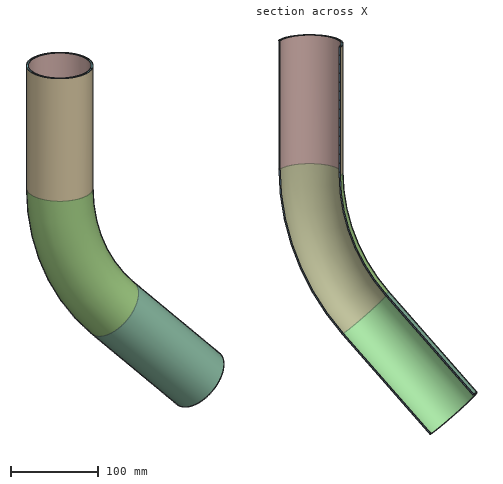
import cadquery as cq
import math

overall_height = 448.8
outer_diameter = 76.5
inner_diameter = 72.0
bend_radius = 228.5
bend_angle = 45.0

outer_radius = outer_diameter / 2
sin_bend = math.sin(math.radians(bend_angle))
cos_bend = math.cos(math.radians(bend_angle))

bend_height = bend_radius * sin_bend
rim_drop = outer_radius * sin_bend
leg_length = (overall_height - bend_height - rim_drop) / (1 + cos_bend)


def bend_point(angle):
    """Centreline point (Y, Z) at an angle in degrees along the bend."""
    turn = math.radians(angle)
    return (bend_radius * (1 - math.cos(turn)), -bend_radius * math.sin(turn))


bend_end = bend_point(bend_angle)
lower_end = (
    bend_end[0] + leg_length * sin_bend,
    bend_end[1] - leg_length * cos_bend,
)
centreline = (
    cq.Workplane("YZ")
    .moveTo(0, leg_length)
    .lineTo(0, 0)
    .threePointArc(bend_point(bend_angle / 2), bend_end)
    .lineTo(*lower_end)
)

result = (
    cq.Workplane("XY")
    .workplane(offset=leg_length)
    .circle(outer_radius)
    .circle(inner_diameter / 2)
    .sweep(centreline)
)